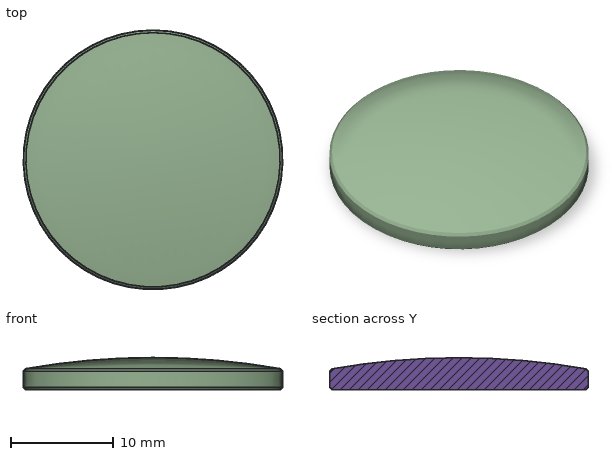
import cadquery as cq

diameter = 25.4
center_thickness = 3.18
dome_height = 1.1
bevel = 0.25

radius = diameter / 2
face_radius = radius - bevel
dome_base = center_thickness - dome_height

sphere_radius = (face_radius**2 + dome_height**2) / (2 * dome_height)
sphere_center = center_thickness - sphere_radius

arc_mid_radius = face_radius / 2
arc_mid_height = sphere_center + (sphere_radius**2 - arc_mid_radius**2) ** 0.5

half_section = (
    cq.Workplane("YZ")
    .lineTo(face_radius, 0)
    .lineTo(radius, bevel)
    .lineTo(radius, dome_base - bevel)
    .lineTo(face_radius, dome_base)
    .threePointArc((arc_mid_radius, arc_mid_height), (0, center_thickness))
    .close()
)

result = half_section.revolve(360, (0, 0, 0), (0, 1, 0))